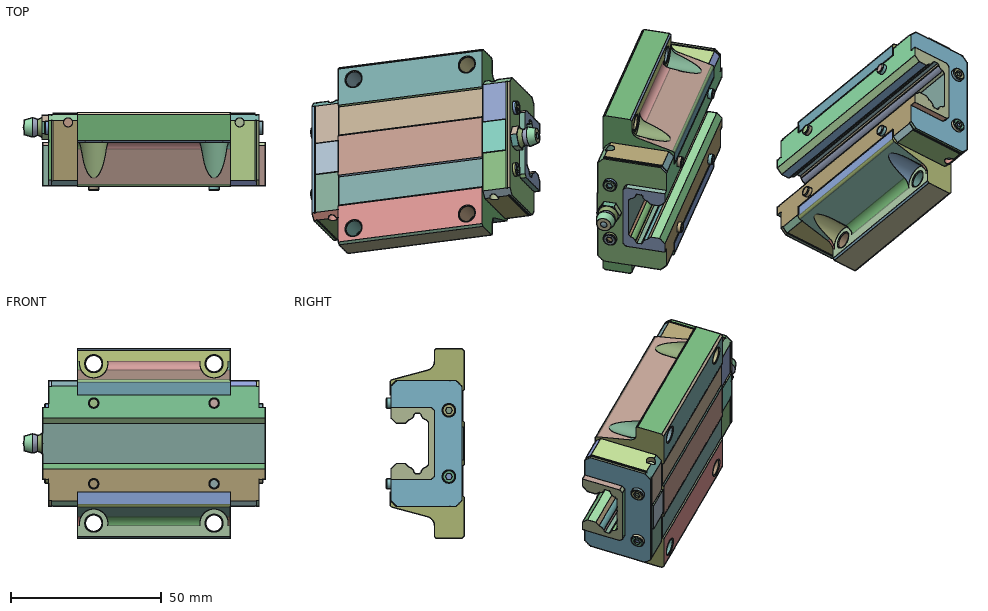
import cadquery as cq
import math


block_length = 50.8
block_width = 63.0
block_depth = 24.7
flange_depth = 10.0
flange_top_chamfer = 0.75
flange_under_chamfer = 0.6
flange_edge = 27.27
flank_angle = math.radians(15.0)
flank_fillet = 3.0
foot_fillet = 1.0
foot_inner = 16.1
mount_groove_depth = 0.45
mount_groove_inner = 7.0
mount_groove_outer = 17.9

hole_spacing_x = 40.0
hole_spacing_z = 53.0
hole_diameter = 5.4
hole_mouth_diameter = 6.0
spotface_diameter = 9.4

cap_length = 70.0
cap_half_width = 20.9
cap_top = 0.73
cap_bottom = 24.45
cap_top_chamfer = 2.0
cap_bottom_chamfer = 1.75
plate_thickness = 0.95
plate_bottom_chamfer = 2.0
cap_groove_width = 0.45
cap_groove_depth = 0.25
pad_top = 0.24
pad_half_width = 5.5
side_hole_diameter = 3.0
side_hole_spacing = 57.0
side_hole_offset = 3.35
side_hole_depth = 2.0

seal_length = 74.0
seal_half_width = 11.95
seal_top = 10.0
seal_chamfer = 1.0

opening_top = 11.95
throat_half_width = 6.65
lip_crest_z = 7.8
raceway_depth = 15.55
raceway_half_width = 10.0
relief_root_half_width = 0.75
relief_half_width = 1.2
relief_neck_z = 9.2
relief_shoulder_z = 9.5
lip_width = 1.68
lip_bulge = 0.25
throat_end = 22.6
mouth_half_width = 8.5

screw_spacing = 22.0
screw_depth = 5.15
screw_diameter = 4.5
screw_height = 1.3
screw_chamfer = 0.3
socket_across_flats = 2.0
socket_depth = 0.7

pin_spacing_z = 26.8
pin_diameter = 3.43
pin_end = 26.0
pin_chamfer = 0.3

nipple_depth = 5.0
hex_across_flats = 7.0
hex_height = 2.2
flare_radius = 3.4
neck_radius = 2.7
neck_distance = 3.7
bulge_radius = 3.25
waist_rise = 0.2
bulge_drop = 0.17
bulge_distance = 5.4
tip_radius = 4.92 / 2
tip_distance = 8.1
ball_opening_radius = 1.1
nipple_length = 43.41 - cap_length / 2


def section_plane(x=0.0):
    """Plane facing -X, with local x as depth and local y as Z."""
    return cq.Workplane(cq.Plane(origin=(x, 0, 0), xDir=(0, -1, 0), normal=(-1, 0, 0)))


def both_halves(half_outline, length):
    """Extrude an upper half outline symmetrically about X = 0 and add its mirror image below."""
    half = half_outline.close().extrude(length / 2, both=True)
    return half.union(half.mirror("XY"))


def chamfered_half(top, bottom, half_width, top_chamfer, bottom_chamfer):
    """Corner points of the upper half of a chamfered cross-section."""
    return [
        (top, 0),
        (top, half_width - top_chamfer),
        (top + top_chamfer, half_width),
        (bottom - bottom_chamfer, half_width),
        (bottom, half_width - bottom_chamfer),
        (bottom, 0),
    ]


def arc_point(center, radius, angle):
    """Point on a circle at an angle from the local x direction."""
    return (center[0] + radius * math.cos(angle), center[1] + radius * math.sin(angle))


def make_block():
    """Steel block: flange, sloped flank with fillets and feet; relief grooves in the mounting face."""
    half_width = block_width / 2
    flank_normal = math.pi / 2 - flank_angle
    fillet_center = (flange_depth + flank_fillet, flange_edge)
    fillet_middle = arc_point(fillet_center, flank_fillet, math.pi + flank_normal / 2)
    fillet_end = arc_point(fillet_center, flank_fillet, math.pi + flank_normal)
    foot_center_depth = block_depth - foot_fillet
    fillet_reach = (flank_fillet + foot_fillet) / math.cos(flank_angle)
    flank_rise = (foot_center_depth - fillet_center[0]) * math.tan(flank_angle)
    foot_center_z = flange_edge - fillet_reach - flank_rise
    foot_center = (foot_center_depth, foot_center_z)
    foot_start = arc_point(foot_center, foot_fillet, flank_normal)
    foot_middle = arc_point(foot_center, foot_fillet, flank_normal / 2)
    half = (
        section_plane()
        .moveTo(0, 0)
        .lineTo(0, mount_groove_inner)
        .lineTo(mount_groove_depth, mount_groove_inner + mount_groove_depth)
        .lineTo(mount_groove_depth, mount_groove_outer - mount_groove_depth)
        .lineTo(0, mount_groove_outer)
        .lineTo(0, half_width - flange_top_chamfer)
        .lineTo(flange_top_chamfer, half_width)
        .lineTo(flange_depth - flange_under_chamfer, half_width)
        .lineTo(flange_depth, half_width - flange_under_chamfer)
        .lineTo(flange_depth, flange_edge)
        .threePointArc(fillet_middle, fillet_end)
        .lineTo(*foot_start)
        .threePointArc(foot_middle, (block_depth, foot_center_z))
        .lineTo(block_depth, foot_inner)
        .lineTo(cap_bottom, foot_inner)
        .lineTo(cap_bottom, 0)
    )
    return both_halves(half, block_length)


def cut_flange_holes(body):
    """Mouth-chamfered through holes with spotfaces cut into the flanks."""
    points = [(sx * hole_spacing_x / 2, sz * hole_spacing_z / 2) for sx in (-1, 1) for sz in (-1, 1)]
    mouth = (hole_mouth_diameter - hole_diameter) / 2
    bore_radius = hole_diameter / 2
    mouth_radius = hole_mouth_diameter / 2
    for x, z in points:
        spotface = (
            cq.Workplane("XZ", origin=(x, -flange_depth, z))
            .circle(spotface_diameter / 2)
            .extrude(block_depth - flange_depth)
        )
        hole = (
            cq.Workplane("XY", origin=(x, 0, z))
            .polyline([
                (0, 0),
                (mouth_radius, 0),
                (bore_radius, -mouth),
                (bore_radius, mouth - flange_depth),
                (mouth_radius, -flange_depth),
                (0, -flange_depth),
            ])
            .close()
            .revolve(360, (0, 0, 0), (0, 1, 0))
        )
        body = body.cut(spotface).cut(hole)
    return body


def make_caps():
    """End caps: main caps, a narrow groove with a sloped floor and an end plate, at both ends."""
    groove_outer = cap_length - 2 * plate_thickness
    groove_inner = groove_outer - 2 * cap_groove_width
    cap_outline = chamfered_half(cap_top, cap_bottom, cap_half_width, cap_top_chamfer, cap_bottom_chamfer)
    groove_outline = chamfered_half(
        cap_top + cap_groove_depth,
        cap_bottom,
        cap_half_width - cap_groove_depth,
        cap_top_chamfer - 2 * cap_groove_depth,
        cap_bottom_chamfer - cap_groove_depth,
    )
    plate_outline = chamfered_half(cap_top, cap_bottom, cap_half_width, cap_top_chamfer, plate_bottom_chamfer)
    main = both_halves(section_plane().polyline(cap_outline), groove_inner)
    plates = both_halves(section_plane().polyline(plate_outline), cap_length)
    half_floor = (
        section_plane(-groove_inner / 2)
        .polyline(cap_outline)
        .close()
        .workplane(offset=cap_groove_width)
        .polyline(groove_outline)
        .close()
        .loft(ruled=True)
    )
    floor = half_floor.union(half_floor.mirror("XY"))
    floor = floor.union(floor.mirror("YZ"))
    gap = cq.Workplane("XY").box(groove_outer, 2 * block_width, 2 * block_width)
    pad = both_halves(
        section_plane().polyline([
            (pad_top, 0),
            (pad_top, pad_half_width),
            (cap_bottom, pad_half_width),
            (cap_bottom, 0),
        ]),
        groove_inner,
    )
    caps = main.union(floor).union(plates.cut(gap)).union(pad)
    for sx in (-1, 1):
        for sz in (-1, 1):
            mouth = (sx * side_hole_spacing / 2, -side_hole_offset, sz * cap_half_width)
            hole = (
                cq.Workplane("XY", origin=mouth)
                .circle(side_hole_diameter / 2)
                .extrude(-sz * side_hole_depth)
            )
            caps = caps.cut(hole)
    return caps


def make_seals():
    """Seal section that surrounds the rail and stands out past both end caps."""
    half = section_plane().polyline([
        (seal_top, 0),
        (seal_top, seal_half_width - seal_chamfer),
        (seal_top + seal_chamfer, seal_half_width),
        (cap_bottom, seal_half_width),
        (cap_bottom, 0),
    ])
    return both_halves(half, seal_length)


def raceway_side(side):
    """One side of a raceway: lip crest, lip middle, neck, shoulder and root, from crest to root.

    The lip is one arc from its crest to the neck of the relief, bulging into the opening.
    """
    neck = (raceway_depth + side * relief_half_width, relief_neck_z)
    shoulder = (neck[0], relief_shoulder_z)
    root = (raceway_depth + side * relief_root_half_width, raceway_half_width)
    crest_depth = neck[0] + side * lip_width
    lip_rise = relief_neck_z - lip_crest_z
    lip_chord = math.hypot(lip_width, lip_rise)
    middle = (
        (crest_depth + neck[0]) / 2 - side * lip_bulge * lip_rise / lip_chord,
        (lip_crest_z + relief_neck_z) / 2 - lip_bulge * lip_width / lip_chord,
    )
    return (crest_depth, lip_crest_z), middle, neck, shoulder, root


def make_rail_opening():
    """Rail opening with a raceway relief on each side, running the full length."""
    near_crest, near_middle, near_neck, near_shoulder, near_root = raceway_side(-1)
    far_crest, far_middle, far_neck, far_shoulder, far_root = raceway_side(1)
    floor_half_width = lip_crest_z - (near_crest[0] - opening_top)
    throat_start = far_crest[0] + lip_crest_z - throat_half_width
    half = (
        section_plane()
        .moveTo(opening_top, 0)
        .lineTo(opening_top, floor_half_width)
        .lineTo(*near_crest)
        .threePointArc(near_middle, near_neck)
        .lineTo(*near_shoulder)
        .lineTo(*near_root)
        .lineTo(*far_root)
        .lineTo(*far_shoulder)
        .lineTo(*far_neck)
        .threePointArc(far_middle, far_crest)
        .lineTo(throat_start, throat_half_width)
        .lineTo(throat_end, throat_half_width)
        .lineTo(cap_bottom, mouth_half_width)
        .lineTo(cap_bottom, 0)
    )
    return both_halves(half, seal_length)


def make_screw_head(z):
    """Socket screw head on the -X end cap."""
    socket_corners = socket_across_flats / math.cos(math.pi / 6)
    head = (
        section_plane(-cap_length / 2)
        .center(screw_depth, z)
        .circle(screw_diameter / 2)
        .extrude(screw_height)
        .faces("<X")
        .chamfer(screw_chamfer)
    )
    socket = (
        section_plane(-cap_length / 2 - screw_height)
        .center(screw_depth, z)
        .polygon(6, socket_corners)
        .extrude(-socket_depth)
    )
    return head.cut(socket)


def make_pin(x, z):
    """Retainer pin end standing out of the rail-side face."""
    return (
        cq.Workplane("XZ", origin=(x, -cap_bottom, z))
        .circle(pin_diameter / 2)
        .extrude(pin_end - cap_bottom)
        .faces("<Y")
        .chamfer(pin_chamfer)
    )


def make_housing():
    """Carriage: block, end caps and seals around the rail opening, with screw heads and pins."""
    body = cut_flange_holes(make_block())
    body = body.union(make_caps()).union(make_seals()).cut(make_rail_opening())
    for side in (-1, 1):
        head = make_screw_head(side * screw_spacing / 2)
        body = body.union(head).union(head.mirror("YZ"))
    for sx in (-1, 1):
        for sz in (-1, 1):
            body = body.union(make_pin(sx * hole_spacing_x / 2, sz * pin_spacing_z / 2))
    return body


def make_nipple():
    """Grease nipple: hexagon, waisted neck, tapered head and the ball in its tip."""
    base_x = -cap_length / 2
    hexagon = (
        section_plane(base_x)
        .center(nipple_depth, 0)
        .polygon(6, hex_across_flats / math.cos(math.pi / 6))
        .extrude(hex_height)
    )
    waist_middle = ((hex_height + neck_distance) / 2, neck_radius + waist_rise)
    bulge_middle = ((neck_distance + bulge_distance) / 2, bulge_radius - bulge_drop)
    ball_rise = nipple_length - tip_distance
    ball_radius = (ball_rise**2 + ball_opening_radius**2) / (2 * ball_rise)
    ball_angle = math.asin(ball_opening_radius / ball_radius) / 2
    ball_middle = arc_point((nipple_length - ball_radius, 0), ball_radius, ball_angle)
    head = (
        cq.Workplane(cq.Plane(origin=(base_x, -nipple_depth, 0), xDir=(-1, 0, 0), normal=(0, 0, 1)))
        .moveTo(0, 0)
        .lineTo(0, flare_radius)
        .lineTo(hex_height, flare_radius)
        .threePointArc(waist_middle, (neck_distance, neck_radius))
        .threePointArc(bulge_middle, (bulge_distance, bulge_radius))
        .lineTo(tip_distance, tip_radius)
        .lineTo(tip_distance, ball_opening_radius)
        .threePointArc(ball_middle, (nipple_length, 0))
        .close()
        .revolve(360, (0, 0, 0), (1, 0, 0))
    )
    return hexagon.union(head)


housing = make_housing()
nipple = make_nipple()

result = cq.Compound.makeCompound([housing.val(), nipple.val()])